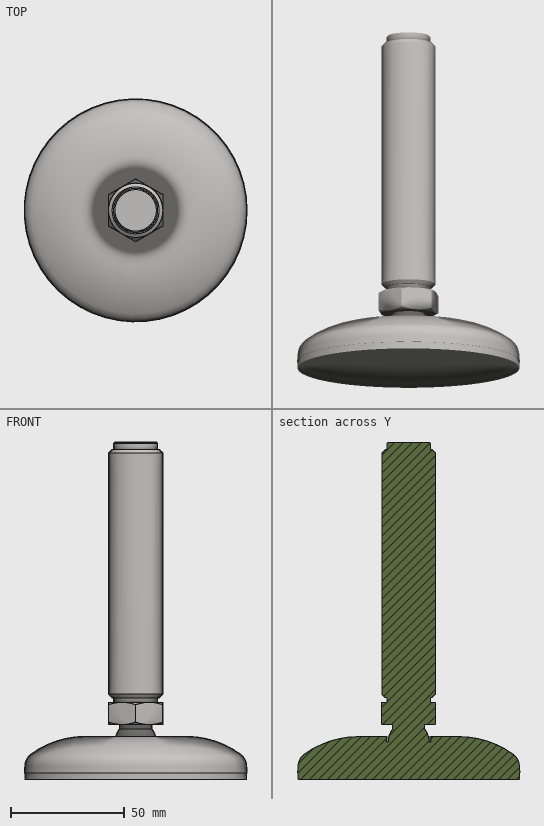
import cadquery as cq
import math

TOTAL_HEIGHT = 149.2
PAD_TOP_Z = 3.0
RIM_TOP_Z = 6.3
DOME_EDGE_Z = 11.2
BASE_TOP_Z = 19.1
COLLAR_TOP_Z = 22.4
NUT_BOTTOM_Z = 24.3
NUT_HEIGHT = 9.8
STUD_BOTTOM_Z = 36.1

RIM_DIAMETER = 98.6
PAD_DIAMETER = 98.2
RIM_TOP_DIAMETER = 98.2
DOME_EDGE_DIAMETER = 92.7
BASE_FLAT_DIAMETER = 44.5

SOCKET_DIAMETER = 19.5
BALL_DIAMETER = 18.4
LOWER_NECK_DIAMETER = 14.3
UPPER_NECK_DIAMETER = 19.5
NUT_ACROSS_FLATS = 24.0
NUT_SIDES = 6
NUT_CHAMFER_ANGLE = 30.0
STUD_DIAMETER = 24.0
STUD_CHAMFER = 1.6
TIP_HEIGHT = 3.1
TIP_DIAMETER = 19.5
TIP_CHAMFER = 0.6

BALL_CENTER_Z = COLLAR_TOP_Z - math.sqrt(BALL_DIAMETER**2 - LOWER_NECK_DIAMETER**2) / 2
HALF_HEX_STEP = 180 / NUT_SIDES
NUT_TOP_Z = NUT_BOTTOM_Z + NUT_HEIGHT
STUD_TOP_Z = TOTAL_HEIGHT - TIP_HEIGHT


def revolve(profile):
    """Close a radius-height profile and turn it about the foot axis."""
    return profile.close().revolve(360, (0, 0, 0), (0, 1, 0))


def cylinder(diameter, bottom, top):
    return cq.Workplane("XY").workplane(offset=bottom).circle(diameter / 2).extrude(top - bottom)


def make_base():
    """Floor pad under a slightly wider domed plate whose rim tapers upward."""
    return revolve(
        cq.Workplane("XZ")
        .moveTo(0, BASE_TOP_Z)
        .lineTo(BASE_FLAT_DIAMETER / 2, BASE_TOP_Z)
        .tangentArcPoint((DOME_EDGE_DIAMETER / 2, DOME_EDGE_Z), relative=False)
        .tangentArcPoint((RIM_TOP_DIAMETER / 2, RIM_TOP_Z), relative=False)
        .lineTo(RIM_DIAMETER / 2, PAD_TOP_Z)
        .lineTo(PAD_DIAMETER / 2, PAD_TOP_Z)
        .lineTo(PAD_DIAMETER / 2, 0)
        .lineTo(0, 0)
    )


def make_collar():
    """Upper part of a ball, from its widest level up to the lower neck."""
    ball_radius = BALL_DIAMETER / 2
    neck_radius = LOWER_NECK_DIAMETER / 2
    neck_angle = math.acos(neck_radius / ball_radius)
    middle = (
        ball_radius * math.cos(neck_angle / 2),
        BALL_CENTER_Z + ball_radius * math.sin(neck_angle / 2),
    )
    return revolve(
        cq.Workplane("XZ")
        .moveTo(0, BALL_CENTER_Z)
        .lineTo(ball_radius, BALL_CENTER_Z)
        .threePointArc(middle, (neck_radius, COLLAR_TOP_Z))
        .lineTo(0, COLLAR_TOP_Z)
    )


def make_nut():
    """Hexagon with two flats facing X and its corners turned off at both ends."""
    across_corners = NUT_ACROSS_FLATS / math.cos(math.radians(HALF_HEX_STEP))
    corner_radius = across_corners / 2
    flat_radius = NUT_ACROSS_FLATS / 2
    drop = (corner_radius - flat_radius) * math.tan(math.radians(NUT_CHAMFER_ANGLE))
    hexagon = (
        cq.Workplane("XY")
        .workplane(offset=NUT_BOTTOM_Z)
        .polygon(NUT_SIDES, across_corners)
        .extrude(NUT_HEIGHT)
        .rotate((0, 0, 0), (0, 0, 1), HALF_HEX_STEP)
    )
    turned_envelope = revolve(
        cq.Workplane("XZ")
        .moveTo(0, NUT_BOTTOM_Z)
        .lineTo(flat_radius, NUT_BOTTOM_Z)
        .lineTo(corner_radius, NUT_BOTTOM_Z + drop)
        .lineTo(corner_radius, NUT_TOP_Z - drop)
        .lineTo(flat_radius, NUT_TOP_Z)
        .lineTo(0, NUT_TOP_Z)
    )
    return hexagon.intersect(turned_envelope)


def make_stud():
    """Long stud, coned at both ends, with a chamfered tip on top."""
    radius = STUD_DIAMETER / 2
    end_radius = radius - STUD_CHAMFER
    shank = revolve(
        cq.Workplane("XZ")
        .moveTo(0, STUD_BOTTOM_Z)
        .lineTo(end_radius, STUD_BOTTOM_Z)
        .lineTo(radius, STUD_BOTTOM_Z + STUD_CHAMFER)
        .lineTo(radius, STUD_TOP_Z - STUD_CHAMFER)
        .lineTo(end_radius, STUD_TOP_Z)
        .lineTo(0, STUD_TOP_Z)
    )
    tip = cylinder(TIP_DIAMETER, STUD_TOP_Z, TOTAL_HEIGHT).faces(">Z").chamfer(TIP_CHAMFER)
    return shank.union(tip)


socket = cylinder(SOCKET_DIAMETER, BALL_CENTER_Z, BASE_TOP_Z)
lower_neck = cylinder(LOWER_NECK_DIAMETER, COLLAR_TOP_Z, NUT_BOTTOM_Z)
upper_neck = cylinder(UPPER_NECK_DIAMETER, NUT_TOP_Z, STUD_BOTTOM_Z)

result = (
    make_base()
    .cut(socket)
    .union(make_collar())
    .union(lower_neck)
    .union(make_nut())
    .union(upper_neck)
    .union(make_stud())
)